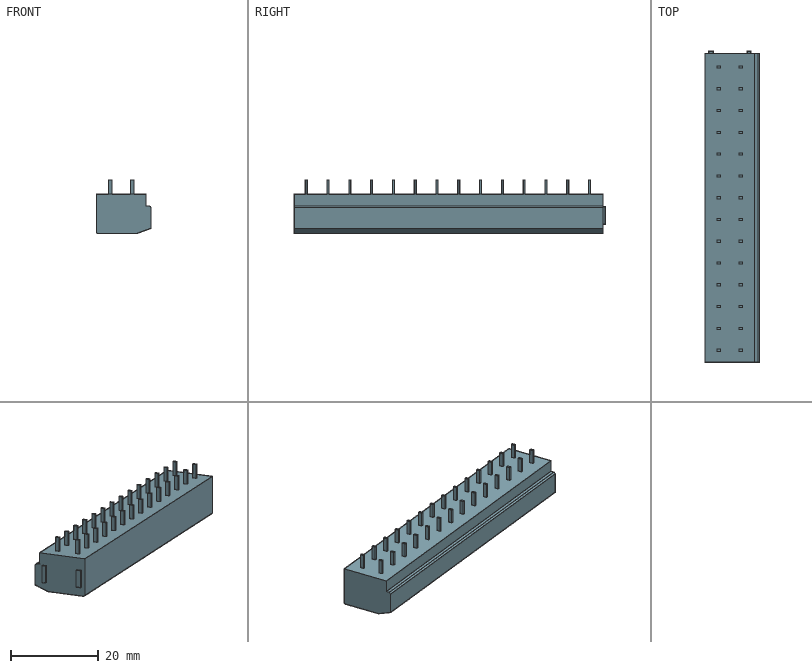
import cadquery as cq

total_length = 71.5
total_width = 12.6
total_height = 12.4

pin_height = 3.3
housing_height = total_height - pin_height
top_width = 11.45
ledge_height = 6.35
ledge_chamfer = 0.35
slope_start = 9.3
bottom_bevel_width = 0.3
bottom_bevel_height = 0.2
slope_height = 1.2

key_depth = 0.5
key_bottom = 2.15
key_height = 4.1
left_key_start = 0.85
left_key_width = 1.1
right_key_start = 9.7
right_key_width = 0.85
housing_length = total_length - key_depth

pin_pitch = 5.0
pins_per_row = 14
pin_size_x = 0.85
pin_size_y = 0.5
first_pin_x = 3.2
first_pin_y = 2.8
row_count = 2


def make_housing():
    """Long housing stepped and sloped on its +X side, bevelled at its lower -X edge."""
    profile = [
        (0, bottom_bevel_height),
        (bottom_bevel_width, 0),
        (slope_start, 0),
        (total_width, slope_height),
        (total_width, ledge_height - ledge_chamfer),
        (total_width - ledge_chamfer, ledge_height),
        (top_width, ledge_height),
        (top_width, housing_height),
        (0, housing_height),
    ]
    return cq.Workplane("XZ").polyline(profile).close().extrude(-housing_length)


def make_key(start_x, width):
    """Upright key standing out from the +Y end face."""
    corner = (start_x, housing_length, key_bottom)
    return cq.Workplane("XY").box(width, key_depth, key_height, centered=False).translate(corner)


def make_pins():
    """All pins, standing on the top face of the housing."""
    centers = [
        (first_pin_x + row * pin_pitch, first_pin_y + index * pin_pitch)
        for row in range(row_count)
        for index in range(pins_per_row)
    ]
    top_face = cq.Workplane("XY").workplane(offset=housing_height)
    return top_face.pushPoints(centers).rect(pin_size_x, pin_size_y).extrude(pin_height)


result = (
    make_housing()
    .union(make_key(left_key_start, left_key_width))
    .union(make_key(right_key_start, right_key_width))
    .union(make_pins())
)